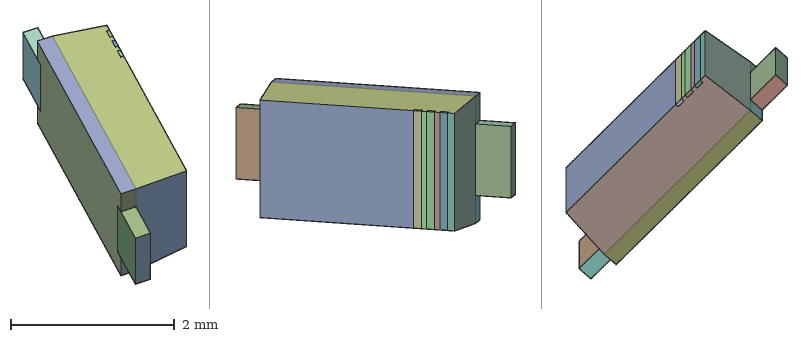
import cadquery as cq
import math

total_length = 3.5
total_depth = 0.9
housing_height = 1.6
front_y = -total_depth / 2
back_y = total_depth / 2

housing_length = 2.6
base_depth = 0.2
taper_angle = 5.0
taper_depth = total_depth - base_depth
taper_inset = taper_depth * math.tan(math.radians(taper_angle))

lead_length = 0.55
lead_height = 0.9
lead_thickness = base_depth

bar_count = 3
bar_width = 0.1
bar_pitch = 0.168
bar_depth = 0.042
first_bar_gap = 0.088
back_face_left_x = -housing_length / 2 + taper_inset


def housing_blank():
    """Base slab and tapered block, before the recesses are cut."""
    base = cq.Workplane("XY").box(housing_length, base_depth, housing_height)
    base = base.translate((0, front_y + base_depth / 2, 0))
    seam = cq.Workplane("XZ", origin=(0, front_y + base_depth, 0))
    front_wire = seam.rect(housing_length, housing_height)
    tapered = (
        front_wire.workplane(offset=-taper_depth)
        .rect(housing_length - 2 * taper_inset, housing_height - 2 * taper_inset)
        .loft(ruled=True, combine=True)
    )
    return base.union(tapered)


def lead(side):
    """Flat lead at the -X end (side = -1) or the +X end (side = 1)."""
    center_x = side * (total_length - lead_length) / 2
    plate = cq.Workplane("XY").box(lead_length, lead_thickness, lead_height)
    return plate.translate((center_x, front_y + lead_thickness / 2, 0))


def polarity_bar(index, blank):
    """Bar running the full height of the back face, its ends trimmed to the slopes."""
    center_x = back_face_left_x + first_bar_gap + bar_width / 2 + index * bar_pitch
    strip = cq.Workplane("XY").box(bar_width, bar_depth, housing_height)
    strip = strip.translate((center_x, back_y - bar_depth / 2, 0))
    return strip.intersect(blank)


blank = housing_blank()
leads = [lead(side) for side in (-1, 1)]
polarity_bars = [polarity_bar(index, blank) for index in range(bar_count)]

housing = blank
for insert in leads + polarity_bars:
    housing = housing.cut(insert)

result = cq.Compound.makeCompound(
    [housing.val()]
    + [plate.val() for plate in leads]
    + [bar.val() for bar in polarity_bars]
)